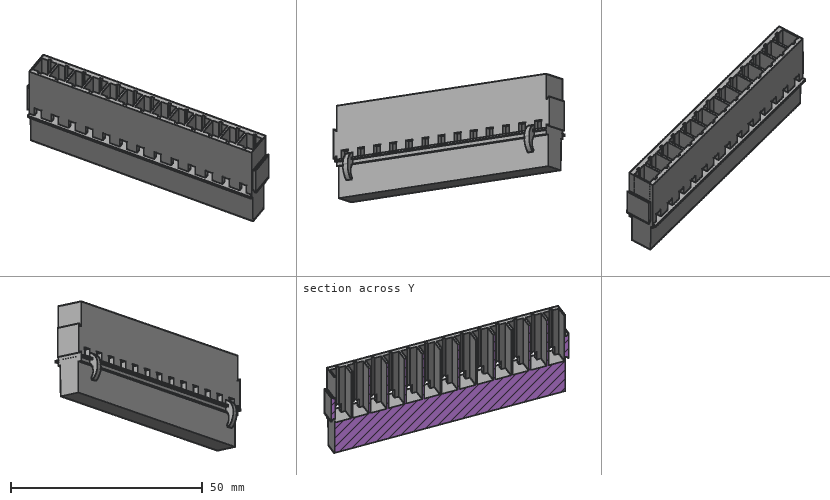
import cadquery as cq

total_length = 68.05
body_length = 66.1
body_depth = 7.6
total_height = 24.55
pole_count = 13
pole_pitch = body_length / pole_count

shoulder_height = 8.45
foot_front = 0.6
foot_toe_front = 0.8
foot_back = 6.75

rail_bottom = 9.45
rail_top = 9.9
rail_overhang = 0.9

cavity_width = 4.4
cavity_front = 1.2
cavity_back = 6.2
key_width = 0.8
key_front = 0.8
key_back = 6.75
cavity_floor = rail_top

window_width = 2.05
window_height = 2.5

wing_bottom = 10.5
wing_top = 18.4
wing_front = 0.6
wing_flare = 0.55
wing_neck = 0.2
wing_rim = 0.2

hook_width = 1.5
hook_end_offset = 4.4
hook_spacing = body_length - 2 * hook_end_offset
hook_back = body_depth + 2.5

hook_root_top = (body_depth, 11.4)
hook_shoulder = (9.4, 10.3)
hook_crest = (hook_back, 8.0)
hook_outer_curl = (9.65, 5.5)
hook_tip_outer = (8.6, 4.0)
hook_tip_end = (8.2, 4.0)
hook_tip_inner = (8.0, 4.55)
hook_inner_curl = (8.7, 6.4)
hook_root_bottom = (body_depth, shoulder_height)


def block(length, front, back, bottom, top):
    """Box centred on X between the given Y and Z limits."""
    return (
        cq.Workplane("XY")
        .box(length, back - front, top - bottom, centered=(True, False, False))
        .translate((0, front, bottom))
    )


def make_housing():
    """Stepped side profile extruded along the whole row."""
    profile = [
        (foot_toe_front, 0),
        (foot_back, 0),
        (foot_back, shoulder_height),
        (body_depth, shoulder_height),
        (body_depth, total_height),
        (0, total_height),
        (0, shoulder_height),
        (foot_front, shoulder_height),
    ]
    housing = cq.Workplane("YZ").polyline(profile).close().extrude(body_length / 2, both=True)
    rails = block(body_length, -rail_overhang, body_depth + rail_overhang, rail_bottom, rail_top)
    return housing.union(rails)


def make_pole_cut():
    """Keyed cavity and its window, centred on X."""
    cavity = block(cavity_width, cavity_front, cavity_back, cavity_floor, total_height)
    keys = block(key_width, key_front, key_back, cavity_floor, total_height)
    window = block(window_width, 0, body_depth, cavity_floor, cavity_floor + window_height)
    return cavity.union(keys).union(window)


def make_wing():
    """Plate on the +X end: a short neck flaring to a taller outer rim."""
    root_x = body_length / 2
    flare_start_x = root_x + wing_neck
    rim_x = total_length / 2
    flare_end_x = rim_x - wing_rim
    profile = [
        (root_x, wing_bottom + wing_flare),
        (flare_start_x, wing_bottom + wing_flare),
        (flare_end_x, wing_bottom),
        (rim_x, wing_bottom),
        (rim_x, wing_top),
        (flare_end_x, wing_top),
        (flare_start_x, wing_top - wing_flare),
        (root_x, wing_top - wing_flare),
    ]
    plate = cq.Workplane("XZ", origin=(0, wing_front, 0)).polyline(profile).close()
    return plate.extrude(wing_front - body_depth)


def make_hook():
    """Downward-curling latch hook, centred on X."""
    return (
        cq.Workplane("YZ")
        .moveTo(*hook_root_top)
        .threePointArc(hook_shoulder, hook_crest)
        .threePointArc(hook_outer_curl, hook_tip_outer)
        .lineTo(*hook_tip_end)
        .lineTo(*hook_tip_inner)
        .threePointArc(hook_inner_curl, hook_root_bottom)
        .close()
        .extrude(hook_width / 2, both=True)
    )


result = make_housing()

pole_cut = make_pole_cut()
for pole in range(pole_count):
    pole_x = (pole - (pole_count - 1) / 2) * pole_pitch
    result = result.cut(pole_cut.translate((pole_x, 0, 0)))

wing = make_wing()
hook = make_hook()
for side in (-1, 1):
    result = result.union(hook.translate((side * hook_spacing / 2, 0, 0)))
result = result.union(wing).union(wing.mirror("YZ"))